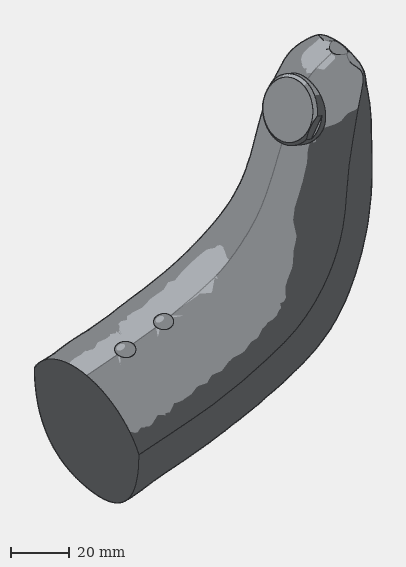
import cadquery as cq
import math

STATIONS = [
    (0.0, 55.7, 0.0, 0.0, 0.318, 27.2),
    (9.8, 56.1, 11.1, 0.8, 0.322, 27.2),
    (18.8, 56.7, 23.7, 1.7, 0.327, 27.2),
    (27.9, 57.4, 37.6, 2.6, 0.33, 27.2),
    (41.8, 59.6, 57.1, 5.2, 0.33, 27.0),
    (55.3, 63.1, 78.0, 9.6, 0.33, 26.5),
    (64.1, 67.4, 98.9, 20.6, 0.34, 25.9),
    (72.7, 75.2, 112.1, 41.1, 0.38, 24.4),
    (80.8, 87.8, 119.7, 73.8, 0.40, 23.0),
    (86.4, 103.1, 120.5, 97.5, 0.38, 21.7),
    (91.2, 117.0, 120.2, 114.2, 0.40, 20.2),
    (96.1, 127.5, 118.7, 126.9, 0.50, 17.8),
    (99.7, 132.8, 117.8, 132.8, 0.68, 14.8),
    (105.9, 136.8, 117.3, 136.8, 0.75, 10.3),
    (111.2, 139.0, 116.0, 139.0, 0.70, 3.9),
]
SIDE_FULLNESS = 0.72
BACK_FULLNESS = 0.6
FRONT_FULLNESS = 0.43
SHOULDER_SPREAD = 0.82
FRONT_SHOULDER = 0.39

BUTTON_DIAMETER = 24.7
BUTTON_EDGE = 1.1
BUTTON_DEPTH = 7.0
BUTTON_FACE_Y = 91.2
BUTTON_FACE_Z = 124.3
BUTTON_TILT = 30.5

FLATS_WIDTH = 22.7
FLATS_DEPTH = 3.6

DOME_RADIUS = 3.5
DOME_HEIGHT = 1.5
DOME_SEATS = [(17.7, 56.7), (35.4, 58.2)]


def section(inner_y, inner_z, outer_y, outer_z, crease_part, half_width):
    """Closed body outline: two mirrored curves across the front and two round the back."""
    run_y = outer_y - inner_y
    run_z = outer_z - inner_z

    def point(x, part):
        return cq.Vector(x, inner_y + part * run_y, inner_z + part * run_z)

    inner = point(0, 0)
    left = point(-half_width, crease_part)
    right = point(half_width, crease_part)
    back = point(0, 1)
    flank_part = crease_part + SIDE_FULLNESS * (1 - crease_part)
    front_reach = FRONT_FULLNESS * half_width
    shoulder = SHOULDER_SPREAD * half_width
    front_part = crease_part * FRONT_SHOULDER
    back_reach = BACK_FULLNESS * half_width
    return cq.Wire.assembleEdges([
        cq.Edge.makeBezier([inner, point(front_reach, 0), point(shoulder, front_part), right]),
        cq.Edge.makeBezier([right, point(half_width, flank_part), point(back_reach, 1), back]),
        cq.Edge.makeBezier([back, point(-back_reach, 1), point(-half_width, flank_part), left]),
        cq.Edge.makeBezier([left, point(-shoulder, front_part), point(-front_reach, 0), inner]),
    ])


def button():
    tilt = math.radians(BUTTON_TILT)
    face = cq.Plane(
        origin=(0, BUTTON_FACE_Y, BUTTON_FACE_Z),
        xDir=(1, 0, 0),
        normal=(0, -math.cos(tilt), math.sin(tilt)),
    )
    disc = cq.Workplane(face).circle(BUTTON_DIAMETER / 2).extrude(-BUTTON_DEPTH)
    top_face = cq.selectors.DirectionMinMaxSelector(face.zDir, True)
    disc = disc.faces(top_face).chamfer(BUTTON_EDGE)
    for side in (-1, 1):
        cutter = (
            cq.Workplane(face)
            .center(side * (FLATS_WIDTH + BUTTON_DIAMETER) / 2, 0)
            .rect(BUTTON_DIAMETER, BUTTON_DIAMETER)
            .extrude(-FLATS_DEPTH)
        )
        disc = disc.cut(cutter)
    return disc


def dome(seat_y, seat_z):
    sphere_radius = (DOME_RADIUS**2 + DOME_HEIGHT**2) / (2 * DOME_HEIGHT)
    centre_z = seat_z + DOME_HEIGHT - sphere_radius
    return cq.Workplane("XY").sphere(sphere_radius).translate((0, seat_y, centre_z))


outlines = [section(*station) for station in STATIONS]
body = cq.occ_impl.shapes.loft(outlines, cap=True, compat=False, parametrization="chordal")
result = cq.Workplane(body).union(button())
for seat in DOME_SEATS:
    result = result.union(dome(*seat))